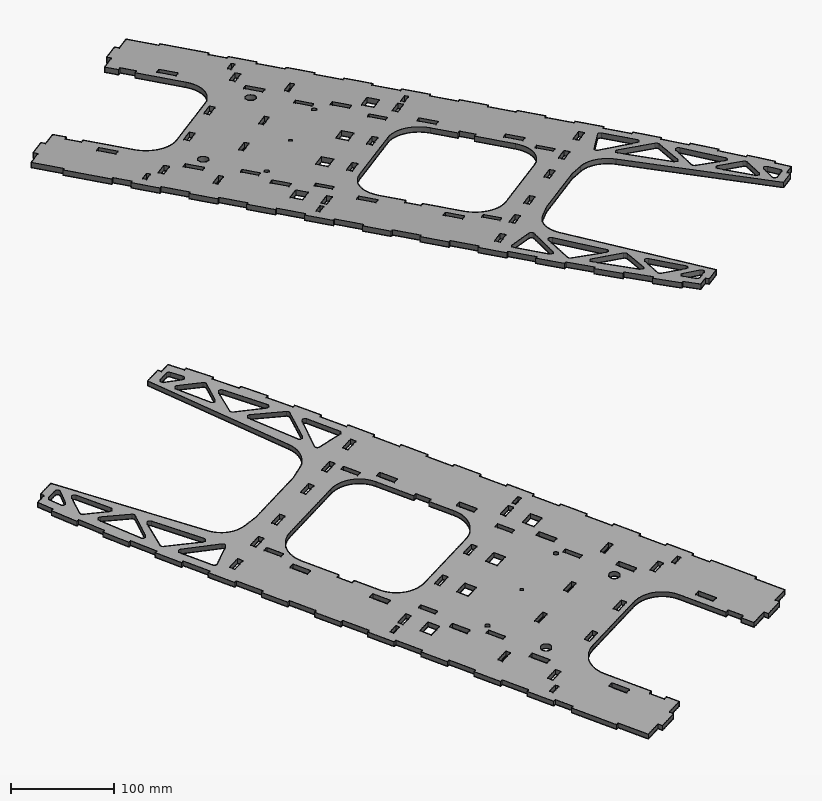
import cadquery as cq

thickness = 6.0
overall_length = 702.0
overall_width = 266.0
rear_tab = 5.0
tip_tab = 4.0
edge_tab = 3.0
body_length = overall_length - rear_tab - tip_tab
half_width = overall_width / 2 - edge_tab
inner_y = 71.0

first_tab_start = 34.0
first_tab_end = 85.0
edge_tab_start = 105.0
edge_tab_pitch = 60.0
edge_tab_length = 30.0
edge_tab_count = 10

bend_start = 512.0
bend_radius = 2750.0

rear_tab_inner_y = 90.0
end_tab_outer_y = 111.5
tip_inner_y = 92.0

corner_radius = 32.0
rear_bay_depth = 116.5
window_start = 306.5
window_end = 458.5
front_bay_start = 499.0
front_bay_flat_y = 35.0
front_corner = (505.0, 75.3)
front_corner_radius = 30.0

notch_length = 17.0
notch_depth = 4.0
notch_centers = (23.0, 375.5)

slot_width = 6.0
cross_slot_length = 15.5
inner_slot_y = 27.5
outer_slot_y = 97.5
cross_slot_columns = (125.5, 294.5)
narrow_slot_x = 182.0
narrow_slot_width = 5.0
wide_slot_x = 266.0
wide_slot_width = 13.0
front_slot_x = 478.5
front_slot_pitch = 40.0
front_slot_count = 3
short_slot_columns = (114.5, 294.5)
short_slot_y = 116.0
short_slot_size = (4.0, 11.0)
long_slot_start = 61.0
long_slot_pitch = 90.0
long_slot_count = 5
long_slot_y = 82.5
long_slot_length = 20.0
inside_slot_centers = (206.0, 282.5, 456.5)
inside_slot_y = inner_y + notch_depth / 2
inside_slot_size = (19.0, 5.0)

hole_y = 65.0
large_hole_x = 154.0
large_hole_diameter = 11.0
small_hole_x = 220.0
small_hole_diameter = 5.0
center_hole_diameter = 3.5

truss_corner_radius = 3.0
truss_openings = (
    ((493.5, 120.5), (542.0, 120.5), (502.5, 84.5)),
    ((517.0, 89.0), (555.0, 121.8), (591.0, 93.0)),
    ((570.0, 120.5), (635.0, 117.0), (603.0, 91.5)),
    ((619.5, 95.0), (647.5, 119.0), (674.5, 95.5)),
    ((663.0, 116.5), (687.5, 114.5), (687.5, 93.5)),
)


def side_y(x):
    """Long side between the tabs: straight, then bent inward along a wide arc."""
    run = max(0.0, x - bend_start)
    return half_width - (bend_radius - (bend_radius**2 - run**2) ** 0.5)


def side_points():
    """Toothed long side, from the rear edge to the front tip."""
    tabs = [(first_tab_start, first_tab_end)]
    for i in range(edge_tab_count):
        start = edge_tab_start + i * edge_tab_pitch
        tabs.append((start, start + edge_tab_length))
    points = [(0, side_y(0))]
    for start, end in tabs:
        points.append((start, side_y(start)))
        points.append((start, side_y(start) + edge_tab))
        points.append((end, side_y(end) + edge_tab))
        points.append((end, side_y(end)))
    points.append((body_length, side_y(body_length)))
    return points


def extrude_outline(points):
    return cq.Workplane("XY").polyline(points).close().extrude(thickness)


def half_blank():
    """Half of the plate on the +Y side, before any opening is cut."""
    tip_x = body_length + tip_tab
    front_end = [(body_length, end_tab_outer_y), (tip_x, end_tab_outer_y), (tip_x, 0)]
    rear_end = [
        (0, 0),
        (0, rear_tab_inner_y),
        (-rear_tab, rear_tab_inner_y),
        (-rear_tab, end_tab_outer_y),
        (0, end_tab_outer_y),
    ]
    return extrude_outline(rear_end + side_points() + front_end)


def box_cut(x_center, y_center, x_size, y_size):
    return cq.Workplane("XY").center(x_center, y_center).rect(x_size, y_size).extrude(thickness)


def rear_bay():
    """Full-width bay between the rear arms; only its inner corners are rounded."""
    bay = box_cut(rear_bay_depth / 2, 0, rear_bay_depth, 2 * inner_y)
    return bay.edges("|Z and >X").fillet(corner_radius)


def window():
    length = window_end - window_start
    opening = box_cut((window_start + window_end) / 2, 0, length, 2 * inner_y)
    return opening.edges("|Z").fillet(corner_radius)


def front_bay():
    """+Y half of the bay between the tapered front arms."""
    tip_x = body_length + tip_tab
    corner_x, corner_y = front_corner
    bay = extrude_outline([
        (front_bay_start, 0),
        (front_bay_start, front_bay_flat_y),
        (corner_x, corner_y),
        (tip_x, tip_inner_y),
        (tip_x, 0),
    ])
    corner = cq.selectors.NearestToPointSelector((corner_x, corner_y, thickness / 2))
    return bay.edges(corner).fillet(front_corner_radius)


def slots():
    """Centre and size of every rectangular slot and notch on the +Y side."""
    found = []
    for x in cross_slot_columns:
        for y in (inner_slot_y, outer_slot_y):
            found.append((x, y, slot_width, cross_slot_length))
    for y in (inner_slot_y, outer_slot_y):
        found.append((narrow_slot_x, y, narrow_slot_width, cross_slot_length))
        found.append((wide_slot_x, y, wide_slot_width, cross_slot_length))
    for i in range(front_slot_count):
        y = inner_slot_y + i * front_slot_pitch
        found.append((front_slot_x, y, slot_width, cross_slot_length))
    for x in short_slot_columns:
        found.append((x, short_slot_y, *short_slot_size))
    for i in range(long_slot_count):
        x = long_slot_start + i * long_slot_pitch
        found.append((x, long_slot_y, long_slot_length, slot_width))
    for x in inside_slot_centers:
        found.append((x, inside_slot_y, *inside_slot_size))
    for x in notch_centers:
        found.append((x, inner_y, notch_length, 2 * notch_depth))
    return found


def round_cut(x, y, diameter):
    return cq.Workplane("XY").center(x, y).circle(diameter / 2).extrude(thickness)


half = half_blank().cut(rear_bay()).cut(window()).cut(front_bay())
for slot in slots():
    half = half.cut(box_cut(*slot))
for corners in truss_openings:
    half = half.cut(extrude_outline(corners).edges("|Z").fillet(truss_corner_radius))
half = half.cut(round_cut(large_hole_x, hole_y, large_hole_diameter))
half = half.cut(round_cut(small_hole_x, hole_y, small_hole_diameter))

result = half.union(half.mirror("XZ")).cut(round_cut(small_hole_x, 0, center_hole_diameter))